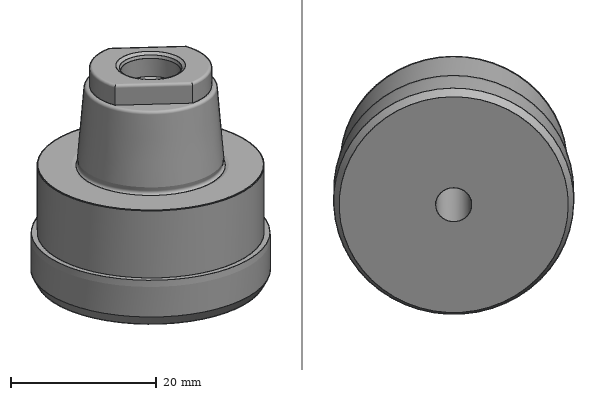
import cadquery as cq
import math

height = 31.95
flange_radius = 16.5
flange_top_radius = 16.4
bottom_radius = 15.75
bottom_chamfer_height = 1.42
flange_edge_z = 5.9
flange_top_z = 6.9
body_radius = 15.62
body_top_z = 17.07
body_edge_chamfer = 0.1

recess_radius = 10.8
recess_inner_radius = 10.27
recess_depth = 0.13
foot_radius = 9.97
foot_z = 17.5
foot_fillet = 0.5

cone_base_radius = 10.07
cone_base_z = 18.03
cone_top_radius = 9.18
cone_top_z = 29.0
cone_edge_radius = 0.45
cone_edge_z = cone_top_z - cone_edge_radius

boss_radius = 8.42
boss_flat_distance = 6.5
boss_flat_angle = 60
boss_edge_fillet = 0.43

countersink_radius = 4.8
countersink_depth = 0.33
lead_in_radius = 4.3
lead_in_depth = 0.75
counterbore_radius = 4.13
counterbore_depth = 3.5
bore_radius = 3.5
bore_depth = 14.85
through_radius = 2.48
bore_end_angle = 59


def make_body():
    """Revolve the flange, cylindrical body and tapered neck."""
    profile = (
        cq.Workplane("XZ")
        .lineTo(bottom_radius, 0)
        .lineTo(flange_radius, bottom_chamfer_height)
        .lineTo(flange_radius, flange_edge_z)
        .lineTo(flange_top_radius, flange_top_z)
        .lineTo(body_radius, flange_top_z)
        .lineTo(body_radius, body_top_z - body_edge_chamfer)
        .lineTo(body_radius - body_edge_chamfer, body_top_z)
        .lineTo(recess_radius, body_top_z)
        .lineTo(recess_inner_radius, body_top_z - recess_depth)
        .radiusArc((foot_radius, foot_z), foot_fillet)
        .lineTo(cone_base_radius, cone_base_z)
        .lineTo(cone_top_radius, cone_edge_z)
        .radiusArc((cone_top_radius - cone_edge_radius, cone_top_z), -cone_edge_radius)
        .lineTo(0, cone_top_z)
        .close()
    )
    return profile.revolve(360, (0, 0, 0), (0, 1, 0))


def make_boss():
    """Cut two flats on a disc and round the whole top edge."""
    boss_height = height - cone_top_z
    disc = cq.Workplane("XY").circle(boss_radius).extrude(boss_height)
    flats = cq.Workplane("XY").rect(2 * boss_radius, 2 * boss_flat_distance).extrude(boss_height)
    boss = disc.intersect(flats).faces(">Z").edges().fillet(boss_edge_fillet)
    return boss.rotate((0, 0, 0), (0, 0, 1), boss_flat_angle).translate((0, 0, cone_top_z))


def make_bore():
    """Revolve the stepped bore with conical steps between its diameters."""
    counterbore_z = height - counterbore_depth
    step_z = counterbore_z - (counterbore_radius - bore_radius)
    bore_z = height - bore_depth
    through_z = bore_z - (bore_radius - through_radius) / math.tan(math.radians(bore_end_angle))
    profile = (
        cq.Workplane("XZ")
        .lineTo(through_radius, 0)
        .lineTo(through_radius, through_z)
        .lineTo(bore_radius, bore_z)
        .lineTo(bore_radius, step_z)
        .lineTo(counterbore_radius, counterbore_z)
        .lineTo(counterbore_radius, height - lead_in_depth)
        .lineTo(lead_in_radius, height - countersink_depth)
        .lineTo(countersink_radius, height)
        .lineTo(0, height)
        .close()
    )
    return profile.revolve(360, (0, 0, 0), (0, 1, 0))


result = make_body().union(make_boss()).cut(make_bore())